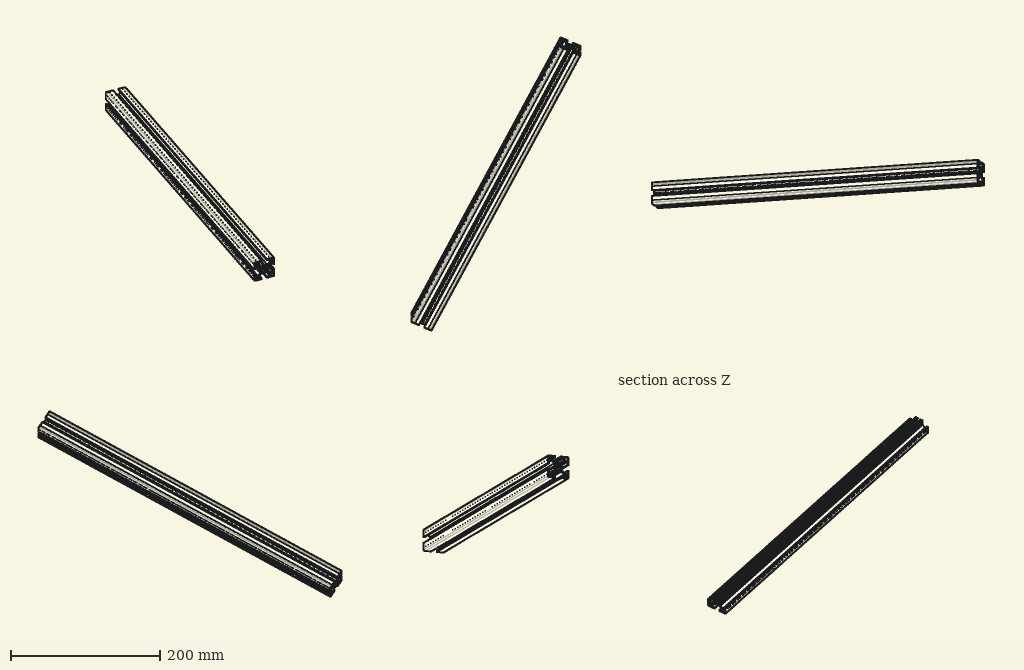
import cadquery as cq

LENGTH = 457.0
WIDTH = 30.0
OUTER_RADIUS = 2.05

HALF_OPENING = 4.0
SLOT_WIDTH = 16.5
SLOT_FLOOR = 6.0
LIP_THICKNESS = 2.0
GROOVE_WIDTH = 2.0
GROOVE_DEPTH = 0.35

TUBE_WALL = 1.5
CAVITY_RADIUS = 2.0
CAVITY_CHAMFER = 1.0
WEB_THICKNESS = 2.0

BORE_DIAMETER = 7.5
NOTCH_CORNER = 4.35
NOTCH_START = 2.05

half_width = WIDTH / 2
half_slot = SLOT_WIDTH / 2
web_offset = WEB_THICKNESS / 2**0.5
end_plane = cq.Workplane("YZ").workplane(offset=-LENGTH / 2)


def prism(outline):
    """Full-length bar with the given closed (y, z) outline."""
    return end_plane.polyline(outline).close().extrude(LENGTH)


def square_bar(low, high):
    """Full-length square bar spanning low to high along both Y and Z."""
    return prism([(low, low), (high, low), (high, high), (low, high)])


def cut_on_four_sides(body, tool):
    """Cut the tool from the body at every quarter turn about the bar axis."""
    for angle in (0, 90, 180, 270):
        body = body.cut(tool.rotate((0, 0, 0), (1, 0, 0), angle))
    return body


def t_slot():
    """T-slot open towards +Z, its lower flanks following the diagonal webs, with a V-groove in its floor."""
    lip_bottom = half_width - LIP_THICKNESS
    right_side = [
        (GROOVE_WIDTH / 2, SLOT_FLOOR),
        (SLOT_FLOOR - web_offset, SLOT_FLOOR),
        (half_slot, half_slot + web_offset),
        (half_slot, lip_bottom),
        (HALF_OPENING, lip_bottom),
        (HALF_OPENING, half_width),
    ]
    left_side = [(-y, z) for y, z in reversed(right_side)]
    groove_bottom = (0, SLOT_FLOOR - GROOVE_DEPTH)
    return prism([groove_bottom] + right_side + left_side)


def corner_cavity():
    """Hollow of the +Y +Z corner tube, rounded outside and chamfered towards the web."""
    cavity = square_bar(half_slot + TUBE_WALL, half_width - TUBE_WALL)
    cavity = cavity.edges("|X and >Y and >Z").fillet(CAVITY_RADIUS)
    return cavity.edges("|X and <Y and <Z").chamfer(CAVITY_CHAMFER)


def bore():
    return end_plane.circle(BORE_DIAMETER / 2).extrude(LENGTH)


body = square_bar(-half_width, half_width).edges("|X").fillet(OUTER_RADIUS)
body = cut_on_four_sides(body, t_slot())
body = cut_on_four_sides(body, corner_cavity())
body = body.cut(bore())
result = cut_on_four_sides(body, square_bar(NOTCH_START, NOTCH_CORNER))